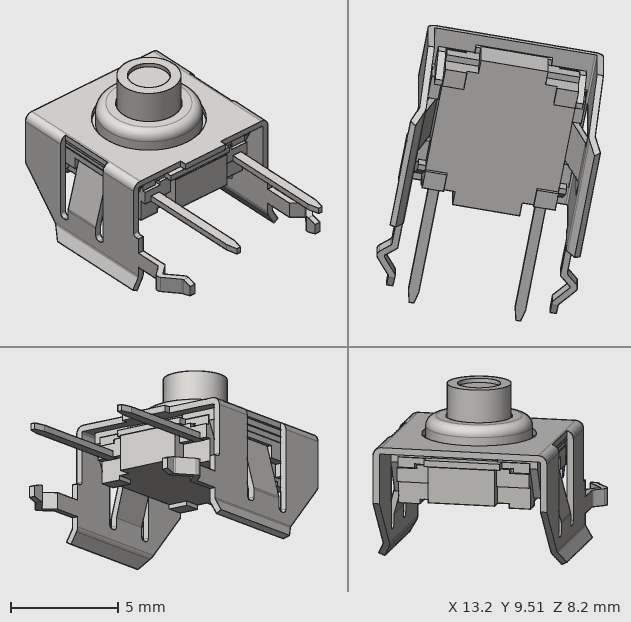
import cadquery as cq
import math


sheet = 0.3
shell_half_width = 4.16
shell_inner = shell_half_width - sheet
shell_rear = -4.0
shell_front_top = 3.67
shell_front = 4.0
shell_bend_radius = 0.4
shell_hole_dia = 5.35
top_tab_half_width = 1.25
bottom_z = -5.8
front_step_z = -2.92
front_step_radius = 0.15
rear_cut_top_z = -2.69
rear_cut_foot_x = -1.19
flare_angle = 30.0
flare_length = 0.69
flare_bend_radius = 0.16

slot_outer_x = 1.5
tongue_half_width = 0.98
slot_bottom_z = -4.48
slot_radius = 0.21
tongue_root_z = -3.83
tongue_tip_z = -1.19
tongue_angle = 15.0
tongue_bend_radius = 0.33

leg_top_z = -3.71
leg_bottom_z = -4.52
leg_tip_x = 7.51
leg_taper_x = 7.05
leg_tip_half_height = 0.26
leg_kink_start_x = 5.4
leg_peak_x = 6.0
leg_peak_y = 4.85
leg_kink_end_x = 7.0
leg_end_y = 4.03
leg_peak_radius = 0.25
leg_kink_radius = 0.13
leg_peak_inner_radius = 0.05

pin_y = 2.53
pin_half_width = 0.25
pin_tip_half_width = 0.113
pin_top_z = -1.45
pin_taper_x = 8.67
pin_tip_x = 9.25

base_half_width = 3.15
base_upper_half_length = 3.34
base_lower_half_length = 3.03
base_step_z = -1.74
base_top_z = -1.07
base_rib_half_width = 2.23
base_bottom_z = -2.6
foot_bottom_z = -2.81
foot_inner_y = 2.13
foot_inner_x = 2.19
block_half_length = 3.7
block_half_width = 1.59

plate_top_z = -sheet
cover_top_z = -0.6
rib_top_z = -0.89
cover_half_length = 3.18
cover_rib_half_length = 3.62
cover_rib_half_width = 1.82
cover_leg_inner_y = 2.37
side_half_length = 2.19
top_plate_half_width = 3.7
middle_plate_half_width = 3.6
side_rail_half_width = 3.65
side_rail_bottom_z = -1.79
rail_notch_half_length = 1.07
frame_half_length = 3.11
frame_half_width = 3.51
frame_recess_half_width = 1.59
frame_recess_depth = 0.09
arm_top_z = -0.86
arm_bottom_z = -2.42
arm_inner_x = 2.05
arm_slant = 0.8

dome_dia = 5.0
dome_top_z = 0.85
dome_fillet = 0.49
button_dia = 3.0
button_gap_dia = 3.1
button_top_z = 2.4
button_recess_dia = 2.0
button_recess_depth = 0.2

overlap = 0.13


def box(half_length, half_width, bottom, top):
    """Box centred on the button axis."""
    height = top - bottom
    return (cq.Workplane("XY").workplane(offset=bottom)
            .rect(2 * half_length, 2 * half_width).extrude(height))


def span_box(x_range, y_range, z_range):
    """Box between pairs of coordinates."""
    lengths = [high - low for low, high in (x_range, y_range, z_range)]
    corner = (x_range[0], y_range[0], z_range[0])
    return cq.Workplane("XY").box(*lengths, centered=False).translate(corner)


def disc(diameter, bottom, top):
    """Cylinder on the button axis."""
    return cq.Workplane("XY").workplane(offset=bottom).circle(diameter / 2).extrude(top - bottom)


def side_prism(points, half_width):
    """Prism of an XZ outline, symmetric about Y = 0."""
    return cq.Workplane("XZ").polyline(points).close().extrude(half_width, both=True)


def both_sides(solid):
    """The solid together with its mirror image across Y = 0."""
    return solid.union(solid.mirror("XZ"))


def sheet_outline(face):
    """Closed outline of bent sheet: one face's points, and the other face to its right."""
    headings = [math.atan2(b[1] - a[1], b[0] - a[0]) for a, b in zip(face, face[1:])]
    incoming = [headings[0]] + headings
    outgoing = headings + [headings[-1]]
    back = []
    for (u, v), before, after in zip(face, incoming, outgoing):
        direction = (before + after) / 2 - math.pi / 2
        reach = sheet / math.cos((after - before) / 2)
        back.append((u + reach * math.cos(direction), v + reach * math.sin(direction)))
    return face + back[::-1]


def round_edge(solid, direction, point, radius):
    """Fillet the edge along the given axis that lies nearest to a point."""
    edge = solid.edges(direction).edges(cq.selectors.NearestToPointSelector(point))
    return edge.fillet(radius)


def taper_blade(root_x, taper_x, tip_x, half_width, tip_half_width):
    """Outline of a flat blade along X with a tapered tip."""
    upper = [(root_x, half_width), (taper_x, half_width), (tip_x, tip_half_width)]
    return upper + [(x, -v) for x, v in reversed(upper)]


def make_channel():
    """Bent U-channel with flared lower edges, extruded along X."""
    flare = math.radians(flare_angle)
    flare_z = bottom_z + sheet * math.sin(flare) + flare_length * math.cos(flare)
    tip_y = shell_half_width + flare_length * math.sin(flare)
    tip_z = flare_z - flare_length * math.cos(flare)
    half_face = [(tip_y, tip_z), (shell_half_width, flare_z), (shell_half_width, 0)]
    face = [(-y, z) for y, z in half_face] + half_face[::-1]
    channel = (cq.Workplane("YZ").workplane(offset=shell_rear)
               .polyline(sheet_outline(face)).close().extrude(shell_front - shell_rear))
    for side in (-1, 1):
        corner = (0, side * shell_half_width, 0)
        channel = round_edge(channel, "|X", corner, shell_bend_radius)
        inner_corner = (0, side * shell_inner, -sheet)
        channel = round_edge(channel, "|X", inner_corner, shell_bend_radius - sheet)
        flare_corner = (0, side * shell_half_width, flare_z)
        channel = round_edge(channel, "|X", flare_corner, flare_bend_radius)
        inner_flare_corner = (0, side * shell_inner, flare_z)
        channel = round_edge(channel, "|X", inner_flare_corner, flare_bend_radius + sheet)
    return channel


def make_slot_cutter():
    """Window for the tongue: from the top edge down, with a slot on either side of the tongue."""
    wall = (shell_inner, shell_half_width)
    window = span_box((-slot_outer_x, slot_outer_x), wall, (slot_bottom_z, 0))
    web_top_z = slot_bottom_z + 2 * slot_radius
    web = span_box((-tongue_half_width, tongue_half_width), wall, (slot_bottom_z, web_top_z))
    window = window.cut(web)
    for x in (-slot_outer_x, -tongue_half_width, tongue_half_width, slot_outer_x):
        window = round_edge(window, "|Y", (x, shell_inner, slot_bottom_z), slot_radius)
    bend_root = span_box((-slot_outer_x, slot_outer_x),
                         (shell_half_width - shell_bend_radius, shell_inner), (-shell_bend_radius, -sheet))
    return window.union(bend_root)


def make_tongue():
    """Spring tongue leaning inwards from the side wall."""
    lean = math.radians(tongue_angle)
    tip_y = shell_half_width - (tongue_tip_z - tongue_root_z) * math.tan(lean)
    face = [(tip_y, tongue_tip_z), (shell_half_width, tongue_root_z), (shell_half_width, slot_bottom_z)]
    tongue = (cq.Workplane("YZ").polyline(sheet_outline(face)).close()
              .extrude(tongue_half_width, both=True))
    return round_edge(tongue, "|X", (0, shell_half_width, tongue_root_z), tongue_bend_radius)


def make_leg():
    """Mounting leg with an outward kink and a tapered tip."""
    face = [
        (shell_front - overlap, shell_half_width),
        (leg_kink_start_x, shell_half_width),
        (leg_peak_x, leg_peak_y),
        (leg_kink_end_x, leg_end_y),
        (leg_tip_x, leg_end_y),
    ]
    height = leg_top_z - leg_bottom_z
    middle_z = (leg_top_z + leg_bottom_z) / 2
    leg = (cq.Workplane("XY").workplane(offset=leg_bottom_z)
           .polyline(sheet_outline(face)).close().extrude(height))
    leg = round_edge(leg, "|Z", (leg_peak_x, leg_peak_y, middle_z), leg_peak_radius)
    for kink_x, kink_y in ((leg_kink_start_x, shell_half_width), (leg_kink_end_x, leg_end_y)):
        leg = round_edge(leg, "|Z", (kink_x, kink_y, middle_z), leg_kink_radius)
    inner_peak = (leg_peak_x, leg_peak_y - sheet, middle_z)
    leg = round_edge(leg, "|Z", inner_peak, leg_peak_inner_radius)
    blade = taper_blade(shell_front - overlap, leg_taper_x, leg_tip_x, height / 2, leg_tip_half_height)
    return leg.intersect(side_prism(blade, 2 * shell_half_width).translate((0, 0, middle_z)))


def make_shell():
    shell = make_channel()
    cut_half_width = 2 * shell_half_width
    rear_cut = [(shell_rear, rear_cut_top_z), (rear_cut_foot_x, bottom_z), (shell_rear, bottom_z)]
    shell = shell.cut(side_prism(rear_cut, cut_half_width))

    step = span_box((shell_front_top, shell_front), (-cut_half_width, cut_half_width), (front_step_z, 0))
    step = round_edge(step, "|Y", (shell_front_top, 0, front_step_z), front_step_radius)
    top_tab = span_box((shell_front_top, shell_front), (-top_tab_half_width, top_tab_half_width), (-sheet, 0))
    shell = shell.cut(step.cut(top_tab))

    shell = shell.cut(disc(shell_hole_dia, -sheet, 0))
    shell = shell.cut(both_sides(make_slot_cutter()))
    return shell.union(both_sides(make_tongue())).union(both_sides(make_leg()))


def make_base():
    """Moulded base: stepped ends, a central end block, a raised rib and four feet."""
    base = box(base_lower_half_length, base_half_width, base_bottom_z, base_step_z)
    base = base.union(box(base_upper_half_length, base_half_width, base_step_z, base_top_z))
    base = base.union(box(base_upper_half_length, base_rib_half_width, base_step_z, rib_top_z))
    base = base.union(box(block_half_length, block_half_width, base_bottom_z, rib_top_z))
    foot = span_box((foot_inner_x, base_lower_half_length), (foot_inner_y, base_half_width),
                    (foot_bottom_z, base_bottom_z))
    feet = both_sides(foot.union(foot.mirror("YZ")))
    return base.union(feet)


def make_cover():
    """Cover on the base, with a central rib and legs that clear the base rib."""
    cover = box(cover_half_length, base_half_width, base_top_z, cover_top_z)
    clearance = box(cover_half_length, cover_leg_inner_y, base_top_z, rib_top_z)
    inner_fill = box(cover_half_length - overlap, cover_leg_inner_y, base_top_z, rib_top_z)
    cover = cover.cut(clearance.cut(inner_fill))
    return cover.union(box(cover_rib_half_length, cover_rib_half_width, rib_top_z, cover_top_z))


def make_side_stack():
    """Stepped long sides of the body, with a notch on each side for the tongue tip."""
    stack = box(side_half_length, top_plate_half_width, cover_top_z, plate_top_z)
    stack = stack.union(box(side_half_length, middle_plate_half_width, rib_top_z, cover_top_z))
    rail = span_box((-side_half_length, side_half_length), (base_half_width, side_rail_half_width),
                    (side_rail_bottom_z, rib_top_z))
    notch = span_box((-rail_notch_half_length, rail_notch_half_length),
                     (base_half_width, side_rail_half_width), (side_rail_bottom_z, tongue_tip_z))
    return stack.union(both_sides(rail.cut(notch)))


def make_frame():
    """Top frame with recessed end centres and four arms hanging beside the base."""
    frame = box(frame_half_length, frame_half_width, cover_top_z, plate_top_z)
    arm_profile = [
        (arm_inner_x, plate_top_z),
        (frame_half_length, plate_top_z),
        (frame_half_length, arm_top_z),
        (frame_half_length - arm_slant, arm_bottom_z),
        (arm_inner_x, arm_bottom_z),
    ]
    arm = (cq.Workplane("XZ", origin=(0, frame_half_width, 0)).polyline(arm_profile).close()
           .extrude(frame_half_width - base_half_width))
    frame = frame.union(both_sides(arm.union(arm.mirror("YZ"))))

    recess_floor = frame_half_length - frame_recess_depth
    floor_half_width = frame_recess_half_width - frame_recess_depth
    recess_outline = [
        (frame_half_length, -frame_recess_half_width),
        (frame_half_length, frame_recess_half_width),
        (recess_floor, floor_half_width),
        (recess_floor, -floor_half_width),
    ]
    recess = (cq.Workplane("XY").workplane(offset=cover_top_z)
              .polyline(recess_outline).close().extrude(plate_top_z - cover_top_z))
    return frame.cut(recess).cut(recess.mirror("YZ"))


def make_pins():
    blade = taper_blade(base_lower_half_length, pin_taper_x, pin_tip_x, pin_half_width, pin_tip_half_width)
    pin = (cq.Workplane("XY").workplane(offset=pin_top_z - sheet).polyline(blade).close()
           .extrude(sheet).translate((0, pin_y, 0)))
    return both_sides(pin)


def make_dome_and_button():
    """Rounded dome with a narrow ring gap around the recessed push button."""
    dome = disc(dome_dia, cover_top_z, dome_top_z).faces(">Z").edges().fillet(dome_fillet)
    dome = dome.cut(disc(button_gap_dia, 0, dome_top_z))
    button = disc(button_dia, -overlap, button_top_z)
    button = button.cut(disc(button_recess_dia, button_top_z - button_recess_depth, button_top_z))
    return dome.union(button)


result = make_shell()
for component in (make_base(), make_cover(), make_side_stack(), make_frame(), make_pins(),
                  make_dome_and_button()):
    result = result.union(component)
result = result.clean()